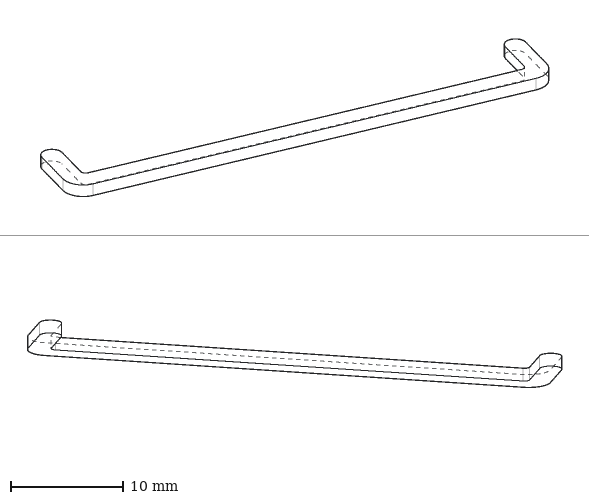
import cadquery as cq

depth = 7.3
length = 47.8
thickness = 1.2

bar_width = 2.0
arm_width = 2.0
outer_radius = 2.0
inner_radius = 0.5

plate = cq.Workplane("XY").box(depth, length, thickness)
plate = plate.edges("|Z and >X").fillet(outer_radius)

opening_depth = depth - bar_width
opening_length = length - 2 * arm_width
opening = (
    cq.Workplane("XY")
    .center(-bar_width / 2, 0)
    .box(opening_depth, opening_length, thickness)
    .edges("|Z and >X")
    .fillet(inner_radius)
)
handle = plate.cut(opening)


def round_arm_tip(body, side):
    """Replace the square free end of one arm with a full half-round."""
    tip_radius = arm_width / 2
    arm_y = side * (length - arm_width) / 2
    square_end = cq.Workplane("XY").box(tip_radius, arm_width, thickness)
    square_end = square_end.translate(((tip_radius - depth) / 2, arm_y, 0))
    round_end = cq.Workplane("XY").circle(tip_radius).extrude(thickness / 2, both=True)
    round_end = round_end.translate((tip_radius - depth / 2, arm_y, 0))
    return body.cut(square_end).union(round_end)


for arm_side in (-1, 1):
    handle = round_arm_tip(handle, arm_side)

result = handle